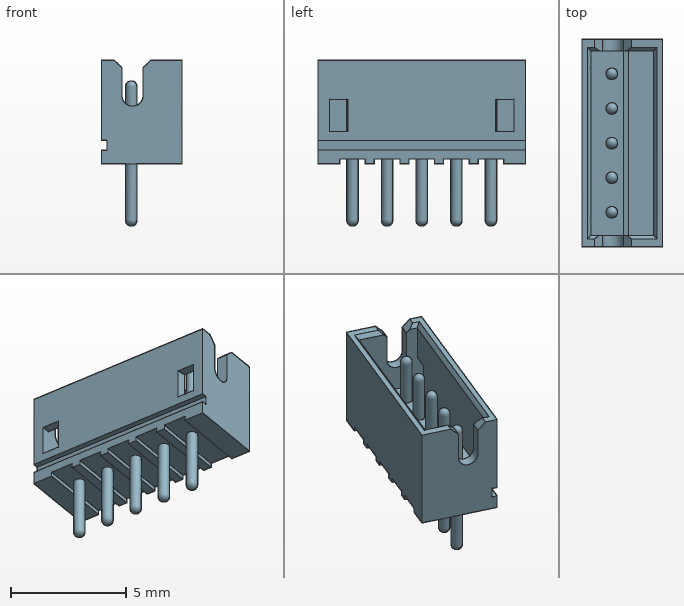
import cadquery as cq
import math

depth = 3.5
length = 9.0
height = 4.5

side_wall = 0.4
end_wall = 0.5
rim_width = 0.15
rim_drop = 0.2
pin_floor = 1.4
rear_floor = 1.08
step_start = 1.8
step_run = 0.22

slot_center = 1.35
slot_width = 0.9
slot_bottom = 2.5
slot_lead_run = 0.35
slot_lead_drop = 0.34

groove_depth = 0.24
groove_bottom = 0.59
groove_top = 1.02

window_bottom = pin_floor
window_top = 2.79
window_outer_width = 0.8
window_taper = 0.05

pin_count = 5
pin_pitch = length / 6
pin_diameter = 0.5
pin_x = 1.3
pin_bottom = -2.7
pin_top = 3.6
notch_width = 1.1
notch_height = 0.21

pin_positions = [(i - (pin_count - 1) / 2) * pin_pitch for i in range(pin_count)]


def plug_cavity():
    """Stepped cavity with a sloped lead-in around its rim."""
    inner_length = length - 2 * end_wall
    inner_depth = depth - 2 * side_wall
    profile = [
        (side_wall, height),
        (side_wall, pin_floor),
        (step_start, pin_floor),
        (step_start + step_run, rear_floor),
        (depth - side_wall, rear_floor),
        (depth - side_wall, height),
    ]
    well = cq.Workplane("XZ").polyline(profile).close().extrude(inner_length / 2, both=True)
    lead_in = (
        cq.Workplane("XY", origin=(depth / 2, 0, height - rim_drop))
        .rect(inner_depth, inner_length)
        .workplane(offset=rim_drop)
        .rect(inner_depth + 2 * rim_width, inner_length + 2 * rim_width)
        .loft(ruled=True)
    )
    return well.union(lead_in)


def keying_slots():
    """Round-bottomed slot with a flared mouth, cut through both end walls."""
    radius = slot_width / 2
    left = slot_center - radius
    right = slot_center + radius
    mouth_bottom = height - slot_lead_drop
    return (
        cq.Workplane("XZ")
        .moveTo(left - slot_lead_run, height)
        .lineTo(left, mouth_bottom)
        .lineTo(left, slot_bottom + radius)
        .threePointArc((slot_center, slot_bottom), (right, slot_bottom + radius))
        .lineTo(right, mouth_bottom)
        .lineTo(right + slot_lead_run, height)
        .close()
        .extrude(length / 2, both=True)
    )


def side_groove():
    return cq.Workplane("XY").box(
        groove_depth, length, groove_top - groove_bottom, centered=(False, True, False)
    ).translate((0, 0, groove_bottom))


def latch_window(side):
    """Window beside the end wall at +Y (side = 1) or -Y (side = -1), narrowing inward."""
    outer_edge = length / 2 - end_wall
    inner_edge = outer_edge - window_outer_width
    outline = [
        (0, side * outer_edge),
        (side_wall, side * outer_edge),
        (side_wall, side * (inner_edge + window_taper)),
        (0, side * inner_edge),
    ]
    return (
        cq.Workplane("XY", origin=(0, 0, window_bottom))
        .polyline(outline)
        .close()
        .extrude(window_top - window_bottom)
    )


def pin_notch(y):
    return cq.Workplane("XY").box(
        depth, notch_width, notch_height, centered=(False, True, False)
    ).translate((0, y, 0))


def pin(y):
    """Straight round pin with hemispherical ends."""
    radius = pin_diameter / 2
    diagonal = math.sin(math.radians(45))
    return (
        cq.Workplane("XZ", origin=(pin_x, y, 0))
        .moveTo(0, pin_bottom)
        .threePointArc(
            (radius * diagonal, pin_bottom + radius * (1 - diagonal)),
            (radius, pin_bottom + radius),
        )
        .lineTo(radius, pin_top - radius)
        .threePointArc(
            (radius * diagonal, pin_top - radius * (1 - diagonal)),
            (0, pin_top),
        )
        .close()
        .revolve(360, (0, 0, 0), (0, 1, 0))
    )


result = cq.Workplane("XY").box(depth, length, height, centered=(False, True, False))
result = result.cut(plug_cavity()).cut(keying_slots()).cut(side_groove())
for side in (-1, 1):
    result = result.cut(latch_window(side))
for y in pin_positions:
    result = result.cut(pin_notch(y))
for y in pin_positions:
    result = result.union(pin(y))